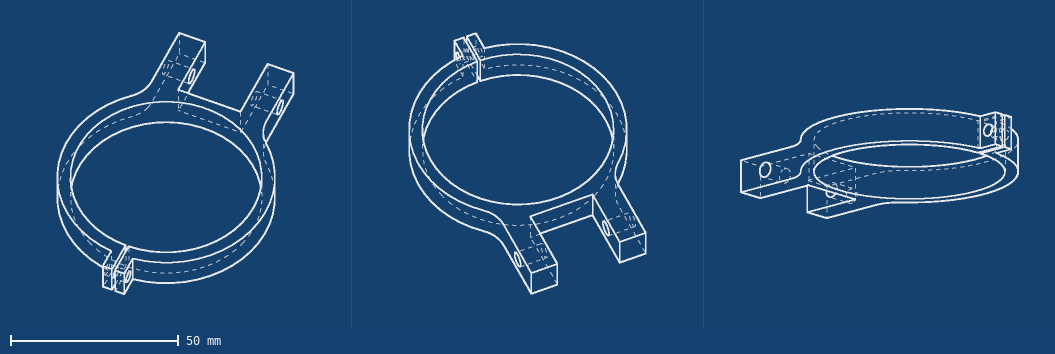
import cadquery as cq
import math

height = 10.0
outer_radius = 32.5
inner_radius = 28.5

total_length = 90.0
fork_end_y = 51.5
tab_end_y = fork_end_y - total_length

fork_width = 37.4
fork_gap = 20.3
fork_floor_y = 31.7
blend_radius = 10.0
fork_hole_diameter = 4.5
fork_hole_inset = 10.0

tabs_width = 7.0
slit_width = 1.0
tab_hole_diameter = 3.5
tab_hole_inset = 3.0


def block(width, y_start, y_end):
    """Full-height block centred on X, spanning y_start to y_end."""
    return (
        cq.Workplane("XY")
        .center(0, (y_start + y_end) / 2)
        .rect(width, y_end - y_start)
        .extrude(height)
    )


def cross_hole(diameter, y, length):
    """Cylinder along X at mid height, centred on X."""
    return (
        cq.Workplane("YZ")
        .center(y, height / 2)
        .circle(diameter / 2)
        .extrude(length / 2, both=True)
    )


def fork_body():
    """Solid fork, widened where concave arcs run tangent into the ring."""
    half_width = fork_width / 2
    blend_x = half_width + blend_radius
    blend_y = math.sqrt((outer_radius + blend_radius) ** 2 - blend_x**2)

    ring_ratio = outer_radius / (outer_radius + blend_radius)
    ring_x = blend_x * ring_ratio
    ring_y = blend_y * ring_ratio

    mid_angle = (math.pi + math.atan2(ring_y - blend_y, ring_x - blend_x) % (2 * math.pi)) / 2
    mid_x = blend_x + blend_radius * math.cos(mid_angle)
    mid_y = blend_y + blend_radius * math.sin(mid_angle)

    return (
        cq.Workplane("XY")
        .moveTo(-half_width, fork_end_y)
        .lineTo(half_width, fork_end_y)
        .lineTo(half_width, blend_y)
        .threePointArc((mid_x, mid_y), (ring_x, ring_y))
        .lineTo(0, 0)
        .lineTo(-ring_x, ring_y)
        .threePointArc((-mid_x, mid_y), (-half_width, blend_y))
        .close()
        .extrude(height)
    )


body = cq.Workplane("XY").circle(outer_radius).extrude(height)
body = body.union(fork_body())
body = body.union(block(tabs_width, tab_end_y, -inner_radius))

body = body.cut(cq.Workplane("XY").circle(inner_radius).extrude(height))
body = body.cut(block(fork_gap, fork_floor_y, fork_end_y))
body = body.cut(block(slit_width, tab_end_y, 0))

body = body.cut(cross_hole(fork_hole_diameter, fork_end_y - fork_hole_inset, fork_width))
body = body.cut(cross_hole(tab_hole_diameter, tab_end_y + tab_hole_inset, tabs_width))

result = body